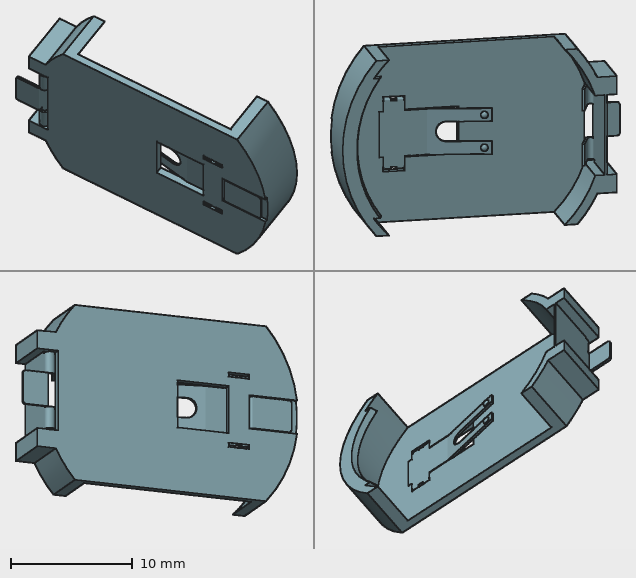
import cadquery as cq
import math

total_length = 24.37
height = 4.75
width = 14.99
outer_radius = 11.3
wall_thickness = 0.78
floor_thickness = 0.65
cell_centre_x = total_length - outer_radius
cavity_radius = outer_radius - wall_thickness

pad_start_x = 1.27
pad_outer_z = 4.97
opening_half = 3.4
opening_edge_x = cell_centre_x - math.sqrt(cavity_radius**2 - opening_half**2)

lip_depth_top = 0.41
lip_depth_bottom = 0.6
lip_height = 0.58
lip_half_length = 5.97

sheet = 0.2
bend_radius = 0.15
tab_corner_radius = 0.27

terminal_x = 2.1
curl_radius = 0.45
curl_inner_z = 1.45
curl_outer_z = 3.27
curl_leg_lean = math.radians(20)
curl_leg_length = 1.95

window_start_x = 13.7
window_end_x = 18.23
window_half = 2.02
spring_half = 1.95
spring_bend_x = 16.35
spring_tip_x = 11.1
spring_rise = 0.97
fork_half = 0.85
fork_end_x = 15.62
bump_radius = 0.32
bump_inset = 0.6

slot_end_x = 20.05
slot_inner_z = 2.83
slot_outer_z = 3.2
leg_length = 0.63
leg_clearance = 0.05
leg_bottom = 0.05

riser_x = 20.2
tab_end_x = 23.8
tab_half = 1.36
tab_recess_half = 1.45
tab_recess_depth = 0.25
plate_bottom = floor_thickness - sheet


def block(x_start, x_end, y_start, y_end, z_start, z_end):
    """Box given by its limits along X, Y and Z."""
    size = (x_end - x_start, y_end - y_start, z_end - z_start)
    return cq.Workplane("XY").box(*size, centered=False).translate((x_start, y_start, z_start))


def centred_block(x_start, x_end, y_start, y_end, half_z):
    """Box that is symmetric about Z = 0."""
    return block(x_start, x_end, y_start, y_end, -half_z, half_z)


def both_sides(solid):
    """The solid together with its mirror image across Z = 0."""
    return solid.union(solid.mirror("XY"))


def cell_disc(radius, y_start, y_end):
    """Disc around the cell axis."""
    plane = cq.Workplane("XZ", origin=(cell_centre_x, y_start, 0))
    return plane.circle(radius).extrude(y_start - y_end)


def housing_shell():
    """Round floor and end walls, cut flat at the sides, with two pads beside the left opening."""
    shell = cell_disc(outer_radius, 0, height)
    shell = shell.intersect(centred_block(0, total_length, 0, height, width / 2))
    shell = shell.union(centred_block(pad_start_x, cell_centre_x, 0, height, pad_outer_z))
    shell = shell.cut(cell_disc(cavity_radius, floor_thickness, height))
    return shell.cut(centred_block(0, opening_edge_x, 0, height, opening_half))


def retaining_lip():
    """Lip inside the right wall, tapered so that a cell snaps in under it."""
    lip_bottom = height - lip_height
    ring_radius = cavity_radius + wall_thickness / 2
    profile = [
        (ring_radius, lip_bottom),
        (cavity_radius - lip_depth_bottom, lip_bottom),
        (cavity_radius - lip_depth_top, height),
        (ring_radius, height),
    ]
    plane = cq.Workplane("XY", origin=(cell_centre_x, 0, 0))
    ring = plane.polyline(profile).close().revolve(360, (0, 0, 0), (0, 1, 0))
    return ring.intersect(centred_block(cell_centre_x, total_length, 0, height, lip_half_length))


def curled_leg():
    """Leg that curls under the left opening and rises again, leaning into the cavity."""
    inner_x = terminal_x + sheet
    mid_x = terminal_x + curl_radius
    inner_radius = curl_radius - sheet
    lean_x = math.sin(curl_leg_lean)
    lean_y = math.cos(curl_leg_lean)

    def arc_end(radius):
        """Point where a curl arc runs smoothly into the leaning straight."""
        return (mid_x + radius * lean_y, curl_radius - radius * lean_x)

    def leg_end(radius):
        """Free end of the leaning straight that follows a curl arc."""
        start_x, start_y = arc_end(radius)
        return (start_x + curl_leg_length * lean_x, start_y + curl_leg_length * lean_y)

    profile = (
        cq.Workplane("XY", origin=(0, 0, curl_inner_z))
        .moveTo(terminal_x, floor_thickness)
        .lineTo(terminal_x, curl_radius)
        .threePointArc((mid_x, 0), arc_end(curl_radius))
        .lineTo(*leg_end(curl_radius))
        .lineTo(*leg_end(inner_radius))
        .lineTo(*arc_end(inner_radius))
        .threePointArc((mid_x, sheet), (inner_x, curl_radius))
        .lineTo(inner_x, floor_thickness)
        .close()
    )
    return profile.extrude(curl_outer_z - curl_inner_z)


def left_terminal():
    """Thin wall closing the left opening, with a solder tab between two curled legs."""
    inner_x = terminal_x + sheet
    wall = centred_block(terminal_x, inner_x, floor_thickness, height, opening_half)
    tab = centred_block(0, inner_x, 0, sheet, curl_inner_z)
    tab = tab.edges("|Y and <X").fillet(tab_corner_radius)
    riser = centred_block(terminal_x, inner_x, 0, floor_thickness, curl_inner_z)
    bent_tab = tab.union(riser).edges("|Z and >X and <Y").fillet(bend_radius)
    return wall.union(bent_tab).union(both_sides(curled_leg()))


def contact_openings():
    """Window, leg slots and recesses in the floor for the spring contact."""
    window = centred_block(window_start_x, window_end_x, 0, floor_thickness, window_half)
    slot = block(window_end_x, slot_end_x, 0, floor_thickness, slot_inner_z, slot_outer_z)
    tab_recess = centred_block(slot_end_x, total_length, 0, tab_recess_depth, tab_recess_half)
    riser_hole = centred_block(slot_end_x, riser_x + sheet, 0, plate_bottom, tab_recess_half)
    return window.union(both_sides(slot)).union(tab_recess).union(riser_hole).union(base_plate())


def base_plate():
    """Flat middle of the contact, flush with the floor."""
    strap = centred_block(spring_bend_x, riser_x + sheet, plate_bottom, floor_thickness, spring_half)
    wings = centred_block(window_end_x, slot_end_x, plate_bottom, floor_thickness, slot_inner_z)
    return strap.union(wings)


def slot_legs():
    """Two short legs in each slot, bent down from the edge of the wings."""
    outer_z = slot_inner_z + sheet
    first_x = window_end_x + leg_clearance
    last_x = slot_end_x - leg_clearance - leg_length
    legs = cq.Workplane("XY")
    for start_x in (first_x, last_x):
        leg = block(start_x, start_x + leg_length, leg_bottom, floor_thickness, slot_inner_z, outer_z)
        leg = leg.edges("|X and >Y and >Z").fillet(bend_radius)
        legs = legs.union(both_sides(leg))
    return legs


def forked_spring():
    """Sloping spring with a round-ended fork and a contact bump on each prong."""
    tip_y = plate_bottom + spring_rise
    profile = [
        (spring_bend_x, plate_bottom),
        (spring_tip_x, tip_y),
        (spring_tip_x, tip_y + sheet),
        (spring_bend_x, floor_thickness),
    ]
    spring = cq.Workplane("XY").polyline(profile).close().extrude(spring_half, both=True)
    bump_slope = spring_rise / (spring_bend_x - spring_tip_x)
    bump_y = tip_y + sheet / 2 - bump_slope * bump_inset
    bump_z = (fork_half + spring_half) / 2
    bump = cq.Workplane("XY").sphere(bump_radius)
    bump = bump.translate((spring_tip_x + bump_inset, bump_y, bump_z))
    bump = bump.intersect(centred_block(spring_tip_x, spring_bend_x, bump_y, height, spring_half))
    round_x = fork_end_x - fork_half
    fork = centred_block(spring_tip_x, round_x, 0, height, fork_half)
    fork_round = cq.Workplane("XZ", origin=(round_x, 0, 0)).circle(fork_half).extrude(-height)
    return spring.cut(fork.union(fork_round)).union(both_sides(bump))


def right_tab():
    """Solder tab that drops from the base plate and lies in the recess under the right wall."""
    tab = centred_block(riser_x, tab_end_x, 0, sheet, tab_half)
    tab = tab.edges("|Y and >X").fillet(tab_corner_radius)
    riser = centred_block(riser_x, riser_x + sheet, 0, floor_thickness, tab_half)
    return tab.union(riser).edges("|Z and <X and <Y").fillet(bend_radius)


housing = housing_shell().union(retaining_lip()).union(left_terminal()).cut(contact_openings())
spring_contact = base_plate().union(slot_legs()).union(forked_spring()).union(right_tab())

result = cq.Compound.makeCompound([housing.val(), spring_contact.val()])